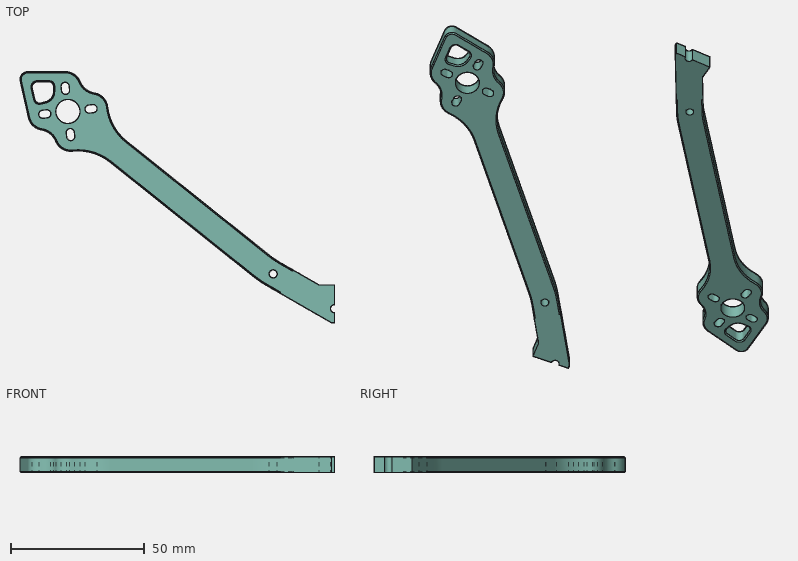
import cadquery as cq
import math


overall_length = 117.7
overall_width = 94.0
thickness = 6.0
edge_chamfer = 0.5

arm_angle = -38.6
lobe_radius = 6.0
lobe_offset = 6.4
waist_radius = 7.0
nose_radius = 3.0
nose_center = 19.2
neck_radius = 19.2

arm_half_width = 10.0 / 2
bend_start = 92.6
bend_radius = 35.1
root_angle = -29.9
plain_root_start = 5.9
root_top_y = -64.8

motor_bore_diameter = 9.0
screw_diameter = 3.0
screw_circle_radius = 8.7
screw_slot_length = 4.5
screw_slot_angle = 45
screw_slot_count = 4
notch_y = -73.8
window_tip = -17.8
window_side = (-11.1, 5.3)
window_back = -7.0
window_tip_radius = 2.0
window_side_radius = 1.8
window_back_radius = 4.0


def on_arm(u, v):
    """Point at u along the arm axis and v across it, turned into the XY plane."""
    a = math.radians(arm_angle)
    return (u * math.cos(a) - v * math.sin(a), u * math.sin(a) + v * math.cos(a))


def on_circle(center, radius, angle):
    """Point on a circle in the arm frame, angle in degrees."""
    a = math.radians(angle)
    return (center[0] + radius * math.cos(a), center[1] + radius * math.sin(a))


def direction(start, end):
    """Angle in degrees of the line from start to end."""
    return math.degrees(math.atan2(end[1] - start[1], end[0] - start[0]))


nose = (-nose_center, 0)
front_lobe = (-lobe_offset, lobe_offset)
rear_lobe = (lobe_offset, lobe_offset)
waist_rise = math.sqrt((lobe_radius + waist_radius) ** 2 - lobe_offset**2)
waist = (0, lobe_offset + waist_rise)
neck_v = arm_half_width + neck_radius
neck_reach = math.sqrt((lobe_radius + neck_radius) ** 2 - (neck_v - lobe_offset) ** 2)
neck = (lobe_offset + neck_reach, neck_v)

nose_span = math.dist(nose, front_lobe)
edge_normal = direction(nose, front_lobe) + math.degrees(math.acos((nose_radius - lobe_radius) / nose_span))

bend_turn = root_angle - arm_angle
bend_center = (bend_start, bend_radius)
bend_end = on_arm(*on_circle(bend_center, bend_radius, -90 + bend_turn))

root_end_x = on_arm(*nose)[0] - nose_radius + overall_length
root_bottom_y = on_arm(*front_lobe)[1] + lobe_radius - overall_width


def half_head():
    """The +v side up to the bar: both ends of the nose edge, then the middle and end of each arc."""
    neck_joint = direction(rear_lobe, neck)
    front_joint = direction(front_lobe, waist)
    rear_joint = 180 - front_joint
    neck_from = neck_joint + 180
    return [
        on_circle(nose, nose_radius, edge_normal),
        on_circle(front_lobe, lobe_radius, edge_normal),
        on_circle(front_lobe, lobe_radius, (edge_normal + front_joint) / 2),
        on_circle(front_lobe, lobe_radius, front_joint),
        on_circle(waist, waist_radius, -90),
        on_circle(rear_lobe, lobe_radius, rear_joint),
        on_circle(rear_lobe, lobe_radius, (rear_joint + neck_joint) / 2),
        on_circle(rear_lobe, lobe_radius, neck_joint),
        on_circle(neck, neck_radius, (neck_from + 270) / 2),
        on_circle(neck, neck_radius, 270),
    ]


def bend_points(v):
    """Start, middle and end of the bend for the edge at v across the bar."""
    radius = bend_radius - v
    angles = (-90, -90 + bend_turn / 2, -90 + bend_turn)
    return [on_arm(*on_circle(bend_center, radius, angle)) for angle in angles]


def plate_outline():
    """Closed outline, clockwise from the nose along the +v side and back."""
    left = [on_arm(u, v) for u, v in half_head()]
    right = [on_arm(u, -v) for u, v in half_head()]
    upper_start, upper_mid, upper_end = bend_points(arm_half_width)
    lower_start, lower_mid, lower_end = bend_points(-arm_half_width)
    arc_middles = range(2, len(left), 2)
    slope = math.tan(math.radians(root_angle))
    root_top_x = upper_end[0] + (root_top_y - upper_end[1]) / slope
    root_bottom_x = lower_end[0] + (root_bottom_y - lower_end[1]) / slope

    sketch = cq.Workplane("XY").moveTo(*left[0]).lineTo(*left[1])
    for i in arc_middles:
        sketch = sketch.threePointArc(left[i], left[i + 1])
    sketch = sketch.lineTo(*upper_start).threePointArc(upper_mid, upper_end)
    sketch = sketch.lineTo(root_top_x, root_top_y).lineTo(root_end_x, root_top_y)
    sketch = sketch.lineTo(root_end_x, root_bottom_y).lineTo(root_bottom_x, root_bottom_y)
    sketch = sketch.lineTo(*lower_end).threePointArc(lower_mid, lower_start)
    sketch = sketch.lineTo(*right[-1])
    for i in reversed(arc_middles):
        sketch = sketch.threePointArc(right[i], right[i - 1])
    sketch = sketch.lineTo(*right[0])
    return sketch.threePointArc(on_arm(-nose_center - nose_radius, 0), left[0]).close()


def window():
    """Cutter for the rounded kite window beside the motor bore."""
    side_u, side_v = window_side
    corners = [(window_tip, 0), (side_u, side_v), (window_back, 0), (side_u, -side_v)]
    body = cq.Workplane("XY").polyline(corners).close().extrude(thickness)
    body = body.edges("|Z and <X").fillet(window_tip_radius)
    body = body.edges("|Z and >X").fillet(window_back_radius)
    body = body.edges("|Z and (>Y or <Y)").fillet(window_side_radius)
    return body.rotate((0, 0, 0), (0, 0, 1), arm_angle)


def plate():
    """Plate and window with chamfered top and bottom edges, left sharp along the root."""
    blank = plate_outline().extrude(thickness).cut(window())
    root_length = 2 * root_end_x
    root_region = (
        cq.Workplane("XY")
        .rect(root_length, root_length)
        .extrude(thickness)
        .translate((root_length / 2 + plain_root_start, 0, 0))
        .rotate((0, 0, 0), (0, 0, 1), root_angle)
        .translate((*bend_end, 0))
    )
    chamfered = blank.faces("|Z").edges().chamfer(edge_chamfer)
    return chamfered.union(blank.intersect(root_region))


def round_hole(x, y, diameter):
    """Cutter for a round hole through the plate."""
    return cq.Workplane("XY").center(x, y).circle(diameter / 2).extrude(thickness)


def screw_slots():
    """Cutter for the radial motor screw slots."""
    return (
        cq.Workplane("XY")
        .polarArray(screw_circle_radius, arm_angle + screw_slot_angle, 360, screw_slot_count)
        .slot2D(screw_slot_length, screw_diameter)
        .extrude(thickness)
    )


result = plate()
result = result.cut(round_hole(0, 0, motor_bore_diameter))
result = result.cut(screw_slots())
result = result.cut(round_hole(*bend_end, screw_diameter))
result = result.cut(round_hole(root_end_x, notch_y, screw_diameter))